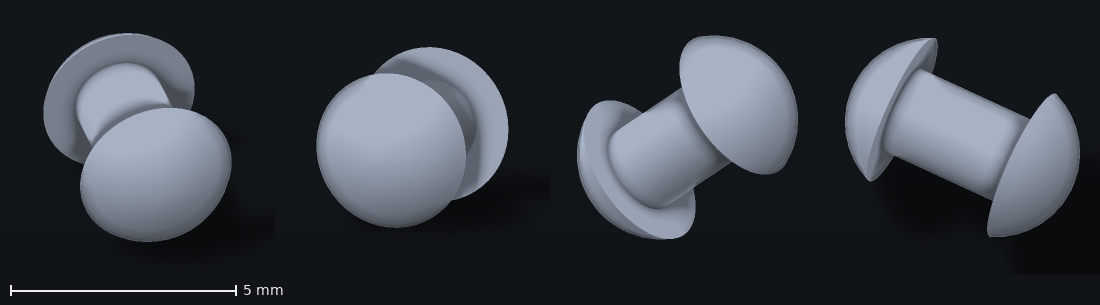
import cadquery as cq
import math

overall_length = 5.4
head_diameter = 3.5
head_height = 1.2
shank_diameter = 2.0

half_length = overall_length / 2
head_radius = head_diameter / 2
shank_radius = shank_diameter / 2
head_face_x = half_length - head_height

dome_radius = (head_radius**2 + head_height**2) / (2 * head_height)
dome_center_x = half_length - dome_radius

arc_angle = math.asin(head_radius / dome_radius) / 2
dome_mid_x = dome_center_x + dome_radius * math.cos(arc_angle)
dome_mid_radius = dome_radius * math.sin(arc_angle)

profile = (
    cq.Workplane("XY")
    .moveTo(-half_length, 0)
    .threePointArc((-dome_mid_x, dome_mid_radius), (-head_face_x, head_radius))
    .lineTo(-head_face_x, shank_radius)
    .lineTo(head_face_x, shank_radius)
    .lineTo(head_face_x, head_radius)
    .threePointArc((dome_mid_x, dome_mid_radius), (half_length, 0))
    .close()
)
result = profile.revolve(360, (0, 0, 0), (1, 0, 0))